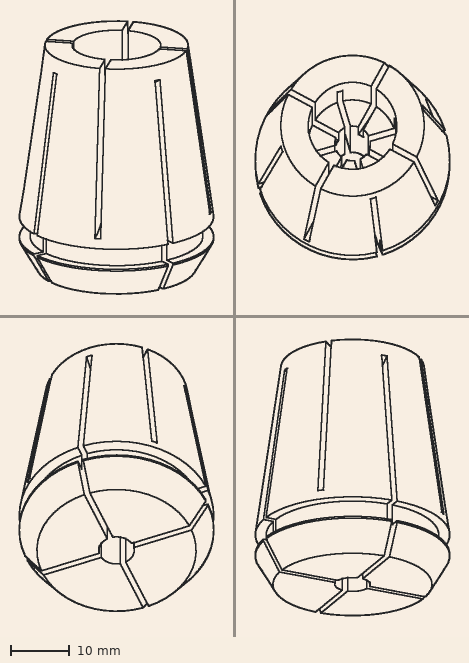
import cadquery as cq
import math

height = 40.0
max_radius = 33.0 / 2
flange_top = 5.5
flange_rim = 0.3
flange_cone_angle = 30.0
groove_radius = 29.3 / 2
taper_bottom = 9.1
taper_angle = 8.0

clamping_radius = 6.0 / 2
relief_radius = 15.0 / 2
bore_step = 24.0

slot_width = 1.0
slots_per_set = 4
slot_spacing = 360.0 / slots_per_set
cutter_radius = 16.8
slot_reach = 18.0
lower_slot_outer_top = 37.4
lower_slot_inner_top = 33.2
upper_slot_outer_floor = 10.85
upper_slot_inner_floor = 17.1


def taper_radius(z):
    """Radius of the tapered outside surface at height z."""
    return max_radius - (z - taper_bottom) * math.tan(math.radians(taper_angle))


def make_body():
    rim_bottom = flange_top - flange_rim
    base_radius = max_radius - rim_bottom * math.tan(math.radians(flange_cone_angle))
    profile = [
        (clamping_radius, 0),
        (base_radius, 0),
        (max_radius, rim_bottom),
        (max_radius, flange_top),
        (groove_radius, flange_top),
        (groove_radius, taper_bottom),
        (max_radius, taper_bottom),
        (taper_radius(height), height),
        (relief_radius, height),
        (relief_radius, bore_step),
        (clamping_radius, bore_step),
    ]
    return cq.Workplane("XZ").polyline(profile).close().revolve(360, (0, 0, 0), (0, 1, 0))


def make_slot(open_z, inner_radius, inner_z, outer_z, arc_radius):
    """Slot along +X, open at open_z and closed by an arc that rises or falls towards the bore."""
    return (
        cq.Workplane("XZ")
        .moveTo(0, open_z)
        .lineTo(0, inner_z)
        .lineTo(inner_radius, inner_z)
        .radiusArc((taper_radius(outer_z), outer_z), arc_radius)
        .lineTo(slot_reach, outer_z)
        .lineTo(slot_reach, open_z)
        .close()
        .extrude(slot_width / 2, both=True)
    )


def cut_slots(body, slot, first_angle):
    for index in range(slots_per_set):
        angle = first_angle + index * slot_spacing
        body = body.cut(slot.rotate((0, 0, 0), (0, 0, 1), angle))
    return body


lower_slot = make_slot(0, relief_radius, lower_slot_inner_top, lower_slot_outer_top, cutter_radius)
upper_slot = make_slot(height, clamping_radius, upper_slot_inner_floor, upper_slot_outer_floor, -cutter_radius)

result = make_body()
result = cut_slots(result, lower_slot, 0)
result = cut_slots(result, upper_slot, slot_spacing / 2)